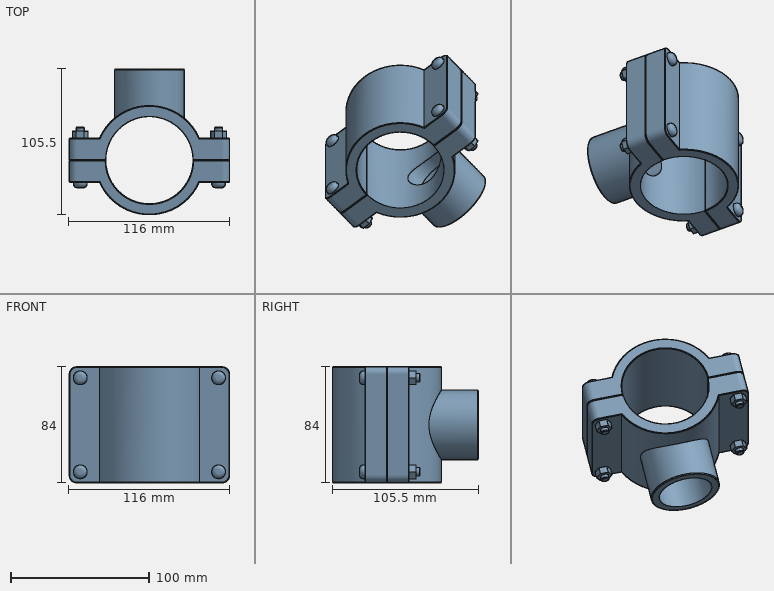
import cadquery as cq
import math

height = 84.0
sleeve_diameter = 79.0
bore_diameter = 63.0
flange_span = 116.0
flange_thickness = 16.0
flange_corner_radius = 5.5
edge_chamfer = 0.5

branch_diameter = 50.64
socket_diameter = 38.95
port_diameter = 32.0
branch_rim_chamfer = 0.7
branch_end = 66.0
socket_depth = 25.0
socket_floor = branch_end - socket_depth

screw_spacing_x = 100.0
screw_spacing_z = 68.0
screw_diameter = 6.0
screw_end_chamfer = 0.6
screw_protrusion = 8.0
head_diameter = 10.0
head_height = 4.0
head_dome_radius = 3.0
nut_flats = 10.0
nut_height = 5.0

tolerance = 0.01


def cylinder_y(diameter, start, end):
    """Cylinder along Y, centred on the Y axis, from y = start to y = end."""
    return cq.Workplane("XZ", origin=(0, start, 0)).circle(diameter / 2).extrude(start - end)


def cylinder_z(diameter):
    """Full-height cylinder on the Z axis, centred on z = 0."""
    return cq.Workplane("XY", origin=(0, 0, -height / 2)).circle(diameter / 2).extrude(height)


def hexagon_y(flats, start, end):
    """Hexagonal bar along Y with two corners pointing in X."""
    corners = flats / math.cos(math.pi / 6)
    return cq.Workplane("XZ", origin=(0, start, 0)).polygon(6, corners).extrude(start - end)


def clamp_half(side):
    """Solid half of the clamp on the +Y (side = 1) or -Y (side = -1) side of the joint."""
    sleeve = cylinder_z(sleeve_diameter)
    keep = cq.Workplane("XY").box(flange_span, sleeve_diameter, height)
    keep = keep.translate((0, side * sleeve_diameter / 2, 0))
    flange = cq.Workplane("XY").box(flange_span, flange_thickness, height)
    flange = flange.edges("|Y").fillet(flange_corner_radius)
    flange = flange.translate((0, side * flange_thickness / 2, 0))
    return sleeve.intersect(keep).union(flange)


def break_edges(half):
    """Chamfer a half around its joint face, bolting face and sleeve ends.

    Edges running across the flange and the corners between flange and sleeve stay sharp.
    """
    inner_corner_x = math.sqrt((sleeve_diameter / 2) ** 2 - flange_thickness ** 2)

    def is_broken(edge):
        center = edge.Center()
        across_thickness = edge.geomType() == "LINE" and abs(abs(edge.tangentAt(0).y) - 1) < tolerance
        inner_corner = abs(center.z) < tolerance and abs(abs(center.x) - inner_corner_x) < tolerance
        return not across_thickness and not inner_corner

    return half.edges().filter(is_broken).chamfer(edge_chamfer)


def make_branch():
    """Solid branch pipe, started inside the bore so that it meets the whole sleeve wall."""
    branch = cylinder_y(branch_diameter, flange_thickness, branch_end)
    return branch.faces(">Y").chamfer(branch_rim_chamfer)


def make_clamp():
    """Both halves joined, with the bore, the port into it and the pipe socket."""
    bore = cylinder_z(bore_diameter)
    front_half = break_edges(clamp_half(-1).cut(bore))
    rear_half = break_edges(clamp_half(1)).union(make_branch()).cut(bore)
    port = cylinder_y(port_diameter, 0, branch_end)
    socket = cylinder_y(socket_diameter, socket_floor, branch_end)
    return front_half.union(rear_half.cut(port).cut(socket))


def make_screw():
    """Button-head screw along Y with its nut, head toward -Y."""
    shank_end = flange_thickness + screw_protrusion
    shank = cylinder_y(screw_diameter, -flange_thickness, shank_end)
    shank = shank.faces(">Y").chamfer(screw_end_chamfer)
    head_top = -flange_thickness - head_height
    head = cylinder_y(head_diameter, head_top, -flange_thickness)
    head = head.faces("<Y").edges().fillet(head_dome_radius)
    nut = hexagon_y(nut_flats, flange_thickness, flange_thickness + nut_height)
    return shank.union(head).union(nut)


result = make_clamp()
screw = make_screw()
for side_x in (-1, 1):
    for side_z in (-1, 1):
        screw_position = (side_x * screw_spacing_x / 2, 0, side_z * screw_spacing_z / 2)
        result = result.union(screw.translate(screw_position))